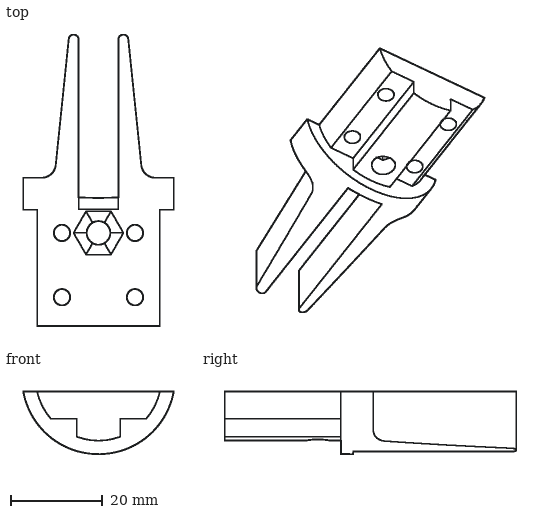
import cadquery as cq
import math

axis_height = 3.0
collar_radius = 16.7
block_radius = 13.72
block_length = 25.3
total_length = 63.51

keel_half_width = 4.7
keel_ledge_z = -6.0

collar_length = 7.05
prong_tip_width = 2.2
prong_taper_angle = 5.9
prong_root_fillet = 3.0

slot_width = 8.64
slot_end_y = 2.65
slot_end_radius = 80.0
slot_end_chamfer = 2.55

screw_diameter = 3.5
screw_x = 7.95
screw_y_positions = (-5.0, -19.0)

bolt_diameter = 5.1
bolt_y = -5.0
nut_flats = 2 * keel_half_width
nut_depth = 3.2
nut_taper_angle = 45.0

bottom_z = axis_height - collar_radius
tip_y = total_length - block_length
slot_half_width = slot_width / 2
clearance = 1.0


def rod(radius, y_start, y_end):
    """Full round bar about the rod axis."""
    plane = cq.Plane(origin=(0, y_start, axis_height), xDir=(1, 0, 0), normal=(0, 1, 0))
    return cq.Workplane(plane).circle(radius).extrude(y_end - y_start)


def box(half_width, y_start, y_end, z_start, z_end):
    """Box centred on X = 0."""
    size = (2 * half_width, y_end - y_start, z_end - z_start)
    centring = (True, False, False)
    return cq.Workplane("XY").box(*size, centered=centring).translate((0, y_start, z_start))


def mounting_block():
    """Lower segment of the thin rod, relieved on both sides of the keel."""
    upper = box(block_radius, -block_length, 0, keel_ledge_z, 0)
    keel = box(keel_half_width, -block_length, 0, bottom_z, keel_ledge_z)
    return rod(block_radius, -block_length, 0).intersect(upper.union(keel))


def fork_half():
    """Half of the fork on the +X side, as a plate with the fork's plan outline."""
    tip_radius = prong_tip_width / 2
    tip_x = slot_half_width + prong_tip_width
    tip_centre_y = tip_y - tip_radius
    taper_run = tip_centre_y - collar_length
    root_x = tip_x + taper_run * math.tan(math.radians(prong_taper_angle))
    plate = (
        cq.Workplane("XY", origin=(0, 0, bottom_z))
        .lineTo(collar_radius, 0)
        .lineTo(collar_radius, collar_length)
        .lineTo(root_x, collar_length)
        .lineTo(tip_x, tip_centre_y)
        .threePointArc((slot_half_width + tip_radius, tip_y), (slot_half_width, tip_centre_y))
        .lineTo(0, tip_centre_y)
        .close()
        .extrude(-bottom_z)
    )
    root_edge = cq.selectors.NearestToPointSelector((root_x, collar_length, bottom_z / 2))
    return plate.edges("|Z").edges(root_edge).fillet(prong_root_fillet)


def fork():
    """Collar and prongs, rounded underneath by the thick rod."""
    right_half = fork_half()
    plan = right_half.union(right_half.mirror("YZ"))
    return rod(collar_radius, 0, tip_y).intersect(plan)


def slot():
    """Gap between the prongs, with the hollow end wall and its chamfer."""
    centre_y = slot_end_y + slot_end_radius
    band = box(slot_half_width, -clearance, tip_y + clearance, bottom_z - clearance, 0)
    end_wall = (
        cq.Workplane("XY", origin=(0, centre_y, bottom_z - clearance))
        .circle(slot_end_radius)
        .extrude(clearance - bottom_z)
        .faces(">Z")
        .workplane(offset=-slot_end_chamfer)
        .circle(slot_end_radius)
        .workplane(offset=slot_end_chamfer)
        .circle(slot_end_radius + slot_end_chamfer)
        .loft(combine=True)
    )
    return band.intersect(end_wall)


def screw_holes():
    places = [(side * screw_x, y) for side in (-1, 1) for y in screw_y_positions]
    return cq.Workplane("XY").pushPoints(places).circle(screw_diameter / 2).extrude(bottom_z)


def bolt_hole():
    return cq.Workplane("XY").center(0, bolt_y).circle(bolt_diameter / 2).extrude(bottom_z)


def nut_hexagon(top_z):
    """Hexagon with two flats facing along Y."""
    plane = cq.Workplane("XY", origin=(0, bolt_y, top_z))
    return plane.polygon(6, nut_flats / math.cos(math.pi / 6))


def nut_pocket():
    taper_inset = nut_flats / 2 - bolt_diameter / 4
    taper_depth = taper_inset / math.tan(math.radians(nut_taper_angle))
    straight = nut_hexagon(0).extrude(-nut_depth)
    tapered = nut_hexagon(-nut_depth).extrude(-taper_depth, taper=nut_taper_angle)
    return straight.union(tapered)


body = mounting_block().union(fork())
result = body.cut(slot()).cut(screw_holes()).cut(bolt_hole()).cut(nut_pocket())